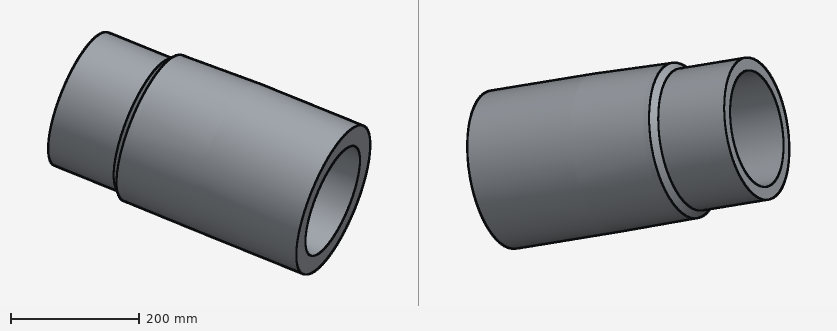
import cadquery as cq

total_length = 442.0
pipe_radius = 125.0
collar_radius = 123.0
spigot_radius = 112.3
bore_radius = 92.0

spigot_offset = collar_radius - pipe_radius

bevel_start = 115.5
bevel_height = collar_radius - spigot_radius
collar_start = bevel_start + bevel_height
taper_start = 135.5
taper_end = 261.0

x_left = -total_length / 2


def section_plane(station, offset_y):
    """Plane across the pipe axis, shifted in Y."""
    return cq.Workplane("YZ", origin=(x_left + station, offset_y, 0))


def cylinder(start, end, radius, offset_y):
    return section_plane(start, offset_y).circle(radius).extrude(end - start)


def transition(start, end, start_radius, end_radius, start_offset, end_offset):
    """Straight-sided loft between two circles."""
    return (
        section_plane(start, start_offset)
        .circle(start_radius)
        .workplane(offset=end - start)
        .center(end_offset - start_offset, 0)
        .circle(end_radius)
        .loft(ruled=True)
    )


spigot = cylinder(0, bevel_start, spigot_radius, spigot_offset)
bevel = transition(
    bevel_start, collar_start, spigot_radius, collar_radius, spigot_offset, spigot_offset
)
collar = cylinder(collar_start, taper_start, collar_radius, spigot_offset)
taper = transition(taper_start, taper_end, collar_radius, pipe_radius, spigot_offset, 0)
pipe = cylinder(taper_end, total_length, pipe_radius, 0)

bore = cylinder(0, total_length, bore_radius, spigot_offset)

result = spigot.union(bevel).union(collar).union(taper).union(pipe).cut(bore)